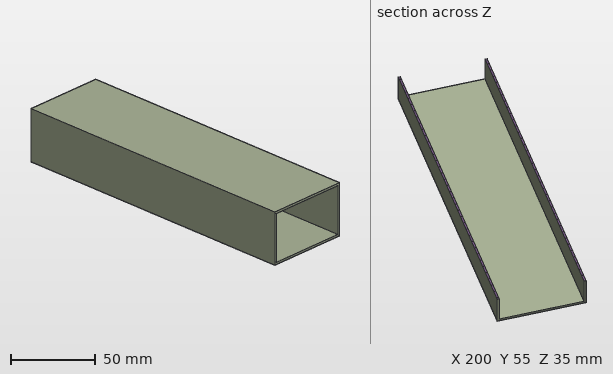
import cadquery as cq

length = 200.0
width = 55.0
height = 35.0
wall = 1.5

outer = cq.Workplane("XY").box(length, width, height)
bore = cq.Workplane("XY").box(length, width - 2 * wall, height - 2 * wall)

result = outer.cut(bore)